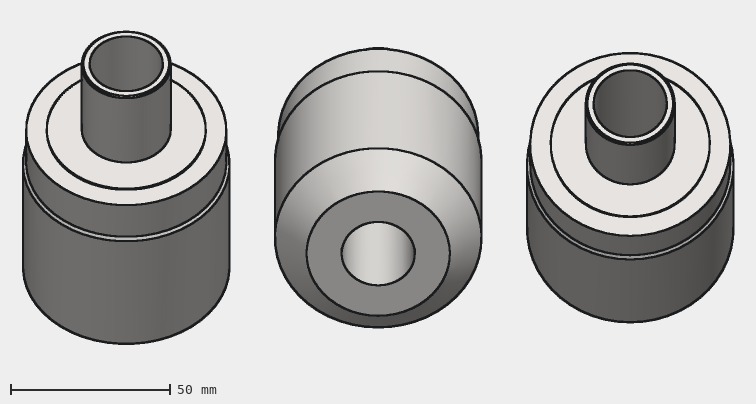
import cadquery as cq

total_height = 106.0
body_diameter = 65.0

base_diameter = 45.0
cap_diameter = 63.0
disc_diameter = 50.0
tube_diameter = 28.0
bore_diameter = 23.0

base_taper_height = 10.0
tube_height = 31.0
disc_height = 0.5
cap_height = 14.9
tube_chamfer = 0.5

disc_top = total_height - tube_height
cap_top = disc_top - disc_height
cap_bottom = cap_top - cap_height
shoulder_chamfer = (body_diameter - cap_diameter) / 2


def cylinder(diameter, bottom, top):
    """Solid cylinder on the Z axis between two levels."""
    return cq.Workplane("XY").workplane(offset=bottom).circle(diameter / 2).extrude(top - bottom)


base_taper_width = (body_diameter - base_diameter) / 2
body = (
    cylinder(body_diameter, 0, cap_bottom)
    .faces("<Z").chamfer(base_taper_height, base_taper_width)
    .faces(">Z").chamfer(shoulder_chamfer)
)

cap = cylinder(cap_diameter, cap_bottom, cap_top)
disc = cylinder(disc_diameter, cap_top, disc_top)

tube = cylinder(tube_diameter, disc_top, total_height).faces(">Z").edges().chamfer(tube_chamfer)

bore = cylinder(bore_diameter, 0, total_height)

result = body.union(cap).union(disc).union(tube).cut(bore)